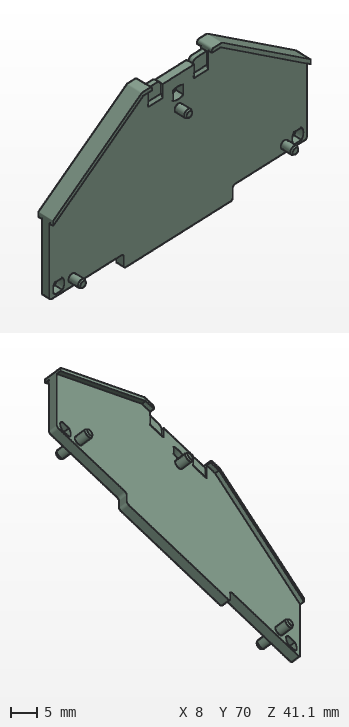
import cadquery as cq
import math

length = 70.0
height = 41.1
plate_thickness = 2.0
half_length = length / 2

foot_half_width = 14.85
foot_height = 3.6
corner_radius = 0.6

rim_width = 4.0
rim_depth = 1.0
slope_foot_height = 23.45
crest_outer_y = 10.85
crest_inner_y = 8.1
rim_end_radius = 0.55
rim_bend_radius = 0.6
rim_foot_radius = 0.2

tab_inner_y = 4.3
tab_drop = 1.3
gap_drop = 2.2
tab_corner_radius = 1.2
tab_thickness = 1.2
recess_bottom_drop = 5.5
recess_ramp_height = 0.85

pin_length = 8.0
pin_diameter = 2.0
pin_chamfer_length = 0.4
pin_chamfer_radial = 0.245
top_pin_height = 30.8
lower_pin_y = 28.85
lower_row_height = 5.7

top_hole_height = 34.45
top_hole_width = 2.8
top_hole_side = 2.45
corner_hole_y = 32.5
corner_hole_width = 2.95
corner_hole_side = 1.95
top_hole_bulge = 0.35
corner_hole_bulge = 0.55

tab_top_height = height - tab_drop
gap_height = height - gap_drop
recess_bottom_height = height - recess_bottom_drop

slope_angle = math.atan2(height - slope_foot_height, half_length - crest_outer_y)
rim_drop = rim_depth / math.cos(slope_angle)
crest_shift = rim_depth * math.tan(slope_angle / 2)


def extrude_across(profile, width):
    """Extrude a YZ profile by the given width, centred on X = 0."""
    return profile.extrude(width / 2, both=True)


def make_plate():
    """Plate with sloped shoulders, a level gap between the rims, and a foot."""
    right_half = [
        (crest_inner_y, gap_height),
        (crest_inner_y, height - rim_depth),
        (crest_outer_y - crest_shift, height - rim_depth),
        (half_length, slope_foot_height - rim_drop),
        (half_length, foot_height),
        (foot_half_width, foot_height),
        (foot_half_width, 0),
    ]
    left_half = [(-y, z) for y, z in reversed(right_half)]
    plate = extrude_across(cq.Workplane("YZ").polyline(right_half + left_half).close(), plate_thickness)
    for side in (-1, 1):
        for y, z in ((half_length, foot_height), (foot_half_width, foot_height), (foot_half_width, 0)):
            corner = plate.edges(cq.selectors.NearestToPointSelector((0, side * y, z)))
            plate = corner.fillet(corner_radius)
    return plate


def make_tab(side):
    """Block raised above the gap next to the rim, with a rounded inner corner."""
    profile = (
        cq.Workplane("YZ")
        .moveTo(side * tab_inner_y, recess_bottom_height)
        .lineTo(side * tab_inner_y, tab_top_height)
        .lineTo(side * crest_inner_y, tab_top_height)
        .lineTo(side * crest_inner_y, recess_bottom_height)
        .close()
    )
    tab = extrude_across(profile, plate_thickness)
    corner = tab.edges(cq.selectors.NearestToPointSelector((0, side * tab_inner_y, tab_top_height)))
    return corner.fillet(tab_corner_radius)


def make_rim(side):
    """Wide rim over one slope and its short level crest."""
    outline = [
        (crest_inner_y, height),
        (crest_outer_y, height),
        (half_length, slope_foot_height),
        (half_length, slope_foot_height - rim_drop),
        (crest_outer_y - crest_shift, height - rim_depth),
        (crest_inner_y, height - rim_depth),
    ]
    points = [(side * y, z) for y, z in outline]
    rim = extrude_across(cq.Workplane("YZ").polyline(points).close(), rim_width)
    end = rim.edges(cq.selectors.NearestToPointSelector((0, side * crest_inner_y, height)))
    rim = end.fillet(rim_end_radius)
    bend = rim.edges(cq.selectors.NearestToPointSelector((0, side * crest_outer_y, height)))
    rim = bend.fillet(rim_bend_radius)
    lower_end = rim.edges(cq.selectors.NearestToPointSelector((0, side * half_length, slope_foot_height)))
    return lower_end.fillet(rim_foot_radius)


def make_recess(side, face):
    """Cutter that thins a tab on one face and ramps out at its lower end."""
    floor_x = face * tab_thickness / 2
    surface_x = face * plate_thickness / 2
    points = [
        (surface_x, recess_bottom_height),
        (floor_x, recess_bottom_height + recess_ramp_height),
        (floor_x, height - rim_depth),
        (surface_x, height - rim_depth),
    ]
    width = crest_inner_y - tab_inner_y
    middle = side * (crest_inner_y + tab_inner_y) / 2
    profile = cq.Workplane("XZ", origin=(0, middle, 0)).polyline(points).close()
    return profile.extrude(width / 2, both=True)


def make_pin(y, z):
    """Pin along X with chamfered ends."""
    pin = extrude_across(cq.Workplane("YZ").center(y, z).circle(pin_diameter / 2), pin_length)
    pin = pin.faces("<X").chamfer(pin_chamfer_length, pin_chamfer_radial)
    return pin.faces(">X").chamfer(pin_chamfer_length, pin_chamfer_radial)


def make_hole(y, z, width, straight, bulge, turn=0):
    """Cutter with two straight sides and two arched ends, turned about X in degrees."""
    profile = (
        cq.Workplane("YZ")
        .moveTo(-width / 2, -straight / 2)
        .lineTo(-width / 2, straight / 2)
        .threePointArc((0, straight / 2 + bulge), (width / 2, straight / 2))
        .lineTo(width / 2, -straight / 2)
        .threePointArc((0, -straight / 2 - bulge), (-width / 2, -straight / 2))
        .close()
    )
    cutter = extrude_across(profile, rim_width)
    return cutter.rotate((0, 0, 0), (1, 0, 0), turn).translate((0, y, z))


result = make_plate()
for side in (-1, 1):
    result = result.union(make_tab(side)).union(make_rim(side))
for side in (-1, 1):
    for face in (-1, 1):
        result = result.cut(make_recess(side, face))
    corner_hole = make_hole(
        side * corner_hole_y,
        lower_row_height,
        corner_hole_width,
        corner_hole_side,
        corner_hole_bulge,
        turn=90,
    )
    result = result.cut(corner_hole)
result = result.cut(make_hole(0, top_hole_height, top_hole_width, top_hole_side, top_hole_bulge))
for y, z in ((-lower_pin_y, lower_row_height), (0, top_pin_height), (lower_pin_y, lower_row_height)):
    result = result.union(make_pin(y, z))